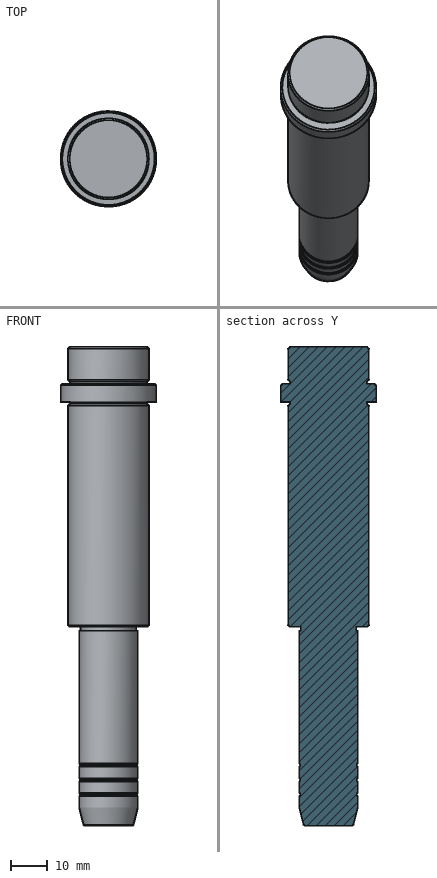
import cadquery as cq

total_length = 130.0

body_radius = 11.0
flange_radius = 13.0
pin_radius = 8.0

taper_height = 5.0
shoulder_z = 54.0
flange_bottom_z = 115.0
flange_thickness = 5.0
flange_top_z = flange_bottom_z + flange_thickness

edge_chamfer = 0.5

relief_depth = 0.5
relief_width = 1.0
pin_relief_depth = 0.4

tip_radius = 6.8
tip_chamfer = 0.3
taper_bulge = 0.03

groove_count = 3
groove_pitch = 4.0
lowest_groove_z = 8.5
groove_width = 1.0
groove_floor_width = 0.2
groove_depth = 0.3


def revolve_about_z(half_profile):
    return half_profile.close().revolve(360, (0, 0, 0), (0, 1, 0))


def chamfered_cylinder(radius, bottom_z, top_z, chamfered_faces):
    """Cylinder on the Z axis with a chamfer round the chosen end faces."""
    blank = cq.Workplane("XY").workplane(offset=bottom_z).circle(radius).extrude(top_z - bottom_z)
    return blank.faces(chamfered_faces).chamfer(edge_chamfer)


def make_pin():
    """Pin with a rounded taper at the tip and a plain relief below the shoulder."""
    mid_taper_radius = (tip_radius + pin_radius) / 2 + taper_bulge
    mid_taper_z = (tip_chamfer + taper_height) / 2
    half_profile = (
        cq.Workplane("XZ")
        .lineTo(tip_radius - tip_chamfer, 0)
        .lineTo(tip_radius, tip_chamfer)
        .threePointArc((mid_taper_radius, mid_taper_z), (pin_radius, taper_height))
        .lineTo(pin_radius, shoulder_z - relief_width)
        .lineTo(pin_radius - pin_relief_depth, shoulder_z - relief_width)
        .lineTo(pin_radius - pin_relief_depth, shoulder_z)
        .lineTo(0, shoulder_z)
    )
    return revolve_about_z(half_profile)


def make_groove_cutter(groove_z):
    """Ring of trapezoidal section, narrowing towards the axis."""
    half_width = groove_width / 2
    half_floor = groove_floor_width / 2
    half_profile = (
        cq.Workplane("XZ")
        .moveTo(pin_radius, groove_z - half_width)
        .lineTo(pin_radius, groove_z + half_width)
        .lineTo(pin_radius - groove_depth, groove_z + half_floor)
        .lineTo(pin_radius - groove_depth, groove_z - half_floor)
    )
    return revolve_about_z(half_profile)


def make_body():
    """Body, flange and head, joined by a thinner core that forms the relief grooves."""
    body = chamfered_cylinder(body_radius, shoulder_z, flange_bottom_z - relief_width + edge_chamfer, "|Z")
    flange = chamfered_cylinder(flange_radius, flange_bottom_z, flange_top_z, ">Z")
    head = chamfered_cylinder(body_radius, flange_top_z + relief_width - edge_chamfer, total_length, "|Z")
    core_height = total_length - shoulder_z
    core_radius = body_radius - relief_depth
    core = cq.Workplane("XY").workplane(offset=shoulder_z).circle(core_radius).extrude(core_height)
    return core.union(body).union(flange).union(head)


result = make_pin().union(make_body())
for groove_index in range(groove_count):
    result = result.cut(make_groove_cutter(lowest_groove_z + groove_index * groove_pitch))